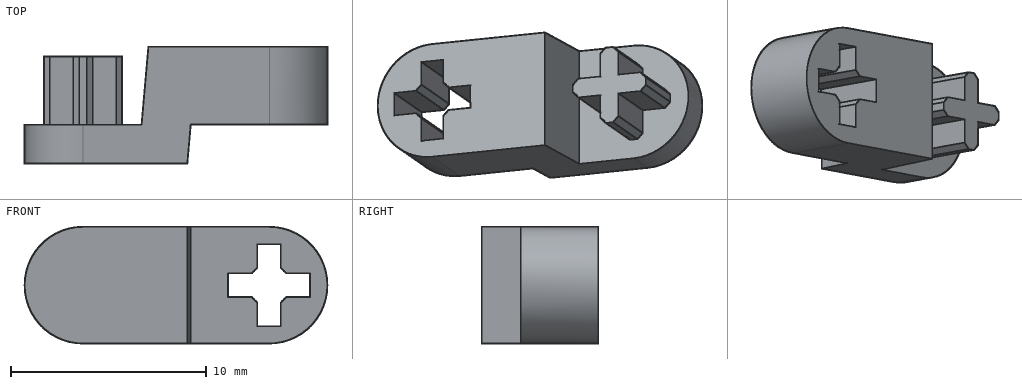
import cadquery as cq
import math

length = 15.53
height = 6.0
depth = 6.0
front_plate_depth = 2.0
end_radius = height / 2
end_center_x = length / 2 - end_radius

rear_step_x = -1.77
front_step_x = 0.76
step_draft = math.tan(math.radians(5))

peg_span = 4.0
peg_arm_width = 1.0
peg_length = 3.5
peg_tip_chamfer = 0.3

hole_span = 4.2
hole_arm_width = 1.2
hole_corner_chamfer = 0.3


def cross(span, arm_width, center_x, start_y, prism_length):
    """Cross-shaped prism running toward +Y from start_y."""
    horizontal = cq.Workplane("XY").box(span, prism_length, arm_width)
    vertical = cq.Workplane("XY").box(arm_width, prism_length, span)
    return horizontal.union(vertical).translate((center_x, start_y + prism_length / 2, 0))


def make_body():
    """Stepped plan profile, trimmed to a round-ended outline."""
    rear_step_end_x = rear_step_x + (depth - front_plate_depth) * step_draft
    front_step_end_x = front_step_x - front_plate_depth * step_draft
    plan_points = [
        (-length / 2, 0),
        (front_step_end_x, 0),
        (front_step_x, front_plate_depth),
        (length / 2, front_plate_depth),
        (length / 2, depth),
        (rear_step_end_x, depth),
        (rear_step_x, front_plate_depth),
        (-length / 2, front_plate_depth),
    ]
    stepped = cq.Workplane("XY").polyline(plan_points).close().extrude(height / 2, both=True)
    outline = cq.Workplane("XZ").slot2D(length, height).extrude(-depth)
    return stepped.intersect(outline)


def inner_corners(arm_width, center_x):
    """Selector for the four edges where the arms of a cross meet."""
    reach = arm_width
    return cq.selectors.BoxSelector((center_x - reach, 0, -reach), (center_x + reach, depth, reach))


def make_peg():
    """Cross peg with both long edges of every arm tip chamfered."""
    peg = cross(peg_span, peg_arm_width, -end_center_x, front_plate_depth, peg_length)
    corners = inner_corners(peg_arm_width, -end_center_x)
    tip_edges = peg.edges("|Y").edges(cq.selectors.InverseSelector(corners))
    return tip_edges.chamfer(peg_tip_chamfer)


def make_hole():
    """Cross hole with its four inner corners cut back by 45 degree chamfers."""
    hole_depth = depth - front_plate_depth
    hole = cross(hole_span, hole_arm_width, end_center_x, front_plate_depth, hole_depth)
    corners = inner_corners(hole_arm_width, end_center_x)
    return hole.edges("|Y").edges(corners).chamfer(hole_corner_chamfer)


result = make_body().union(make_peg()).cut(make_hole())